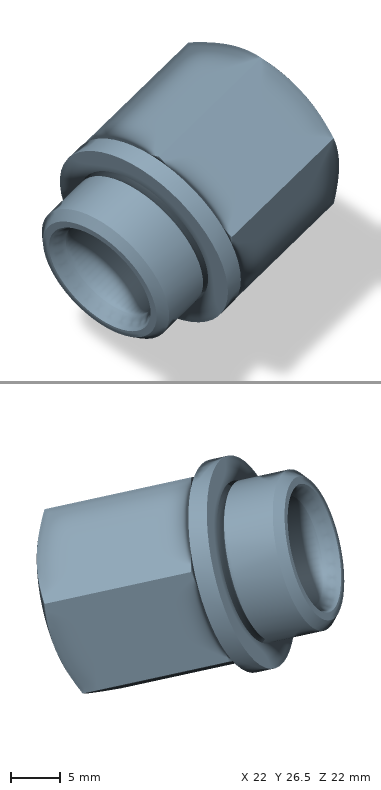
import cadquery as cq
import math

length = 26.5
bore_diameter = 11.5

spigot_radius = 16.67 / 2
spigot_chamfer = 0.9
bore_chamfer = 0.9
bore_chamfer_length = 1.56

flange_front = 7.0
flange_thickness = 2.05
flange_radius = 22.0 / 2
collar_radius = 19.0 / 2
collar_length = 0.37
hex_start = flange_front + flange_thickness + collar_length

recess_radius = 16.8 / 2
undercut_start = flange_front - 0.72
cone_length = 0.26
cone_angle = math.radians(60)
undercut_fillet = 0.98

across_flats = 19.0
across_corners = across_flats / math.cos(math.radians(30))
hex_end_radius = 9.38
hex_chamfer_angle = math.radians(30)


def make_turned_body():
    """Spigot, flange and collar, as one profile of (radius, Y) revolved about Y."""
    cone_end_y = undercut_start + cone_length
    cone_end_radius = spigot_radius - cone_length * math.tan(cone_angle)
    arc_center_radius = cone_end_radius + undercut_fillet * math.cos(cone_angle)
    arc_center_y = cone_end_y + undercut_fillet * math.sin(cone_angle)
    neck_point = (arc_center_radius - undercut_fillet, arc_center_y)
    floor_y = arc_center_y + undercut_fillet
    return (
        cq.Workplane("XY")
        .moveTo(0, 0)
        .lineTo(spigot_radius - spigot_chamfer, 0)
        .lineTo(spigot_radius, spigot_chamfer)
        .lineTo(spigot_radius, undercut_start)
        .lineTo(cone_end_radius, cone_end_y)
        .threePointArc(neck_point, (arc_center_radius, floor_y))
        .lineTo(recess_radius, floor_y)
        .lineTo(recess_radius, flange_front)
        .lineTo(flange_radius, flange_front)
        .lineTo(flange_radius, flange_front + flange_thickness)
        .lineTo(collar_radius, flange_front + flange_thickness)
        .lineTo(collar_radius, hex_start)
        .lineTo(0, hex_start)
        .close()
        .revolve(360, (0, 0), (0, 1))
    )


def make_hex():
    """Hexagon with corners on the Z axis and a conical chamfer on its outer end."""
    hexagon = (
        cq.Workplane("XZ", origin=(0, hex_start, 0))
        .transformed(rotate=(0, 0, 90))
        .polygon(6, across_corners)
        .extrude(hex_start - length)
    )
    envelope_radius = across_corners
    chamfer_depth = (envelope_radius - hex_end_radius) * math.tan(hex_chamfer_angle)
    envelope = (
        cq.Workplane("XY")
        .moveTo(0, hex_start)
        .lineTo(envelope_radius, hex_start)
        .lineTo(envelope_radius, length - chamfer_depth)
        .lineTo(hex_end_radius, length)
        .lineTo(0, length)
        .close()
        .revolve(360, (0, 0), (0, 1))
    )
    return hexagon.intersect(envelope)


def make_bore():
    """Through bore with a conical lead-in at the spigot end."""
    bore_radius = bore_diameter / 2
    return (
        cq.Workplane("XY")
        .moveTo(0, 0)
        .lineTo(bore_radius + bore_chamfer, 0)
        .lineTo(bore_radius, bore_chamfer_length)
        .lineTo(bore_radius, length)
        .lineTo(0, length)
        .close()
        .revolve(360, (0, 0), (0, 1))
    )


result = make_turned_body().union(make_hex()).cut(make_bore())